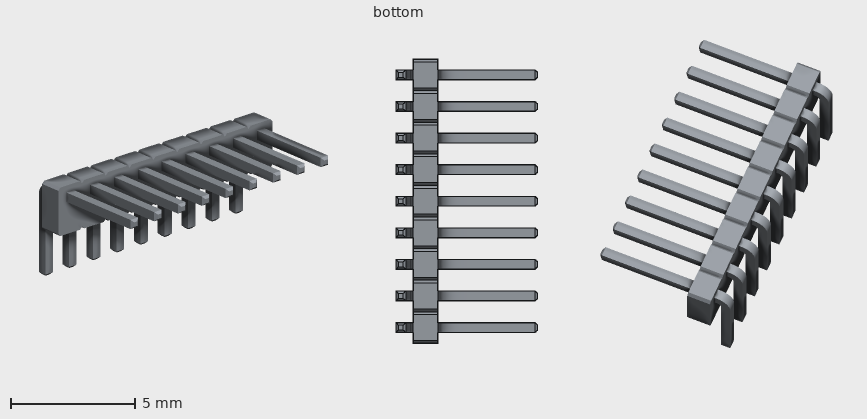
import cadquery as cq


row_length = 11.43
pin_count = 9
pitch = row_length / pin_count

total_width = 5.7
total_height = 4.35

housing_depth = 1.0
housing_height = 2.1
housing_offset = 0.7
notch_depth = 0.11

pin_size = 0.4
pin_tip_chamfer = 0.1
bend_inner_radius = 0.2
bend_outer_radius = bend_inner_radius + pin_size
pin_axis_drop = 0.5

housing_bottom = total_height - housing_height
pin_top = total_height - pin_axis_drop + pin_size / 2


def make_housing_segment(y_center):
    """One position of the housing, with its four long edges chamfered."""
    segment = cq.Workplane("XY").box(
        housing_depth, pitch, housing_height, centered=(False, True, False)
    )
    segment = segment.edges("|X").chamfer(notch_depth)
    return segment.translate((housing_offset, y_center, housing_bottom))


def make_pin(y_center):
    """One square pin: horizontal leg, rounded bend and downward leg, with tapered tips."""
    pin_blank = (
        cq.Workplane("XZ")
        .rect(total_width, pin_top, centered=False)
        .extrude(pin_size / 2, both=True)
    )
    inside_corner = (
        cq.Workplane("XZ")
        .rect(total_width - pin_size, pin_top - pin_size, centered=False)
        .extrude(pin_size / 2, both=True)
        .translate((pin_size, 0, 0))
    )
    pin = pin_blank.cut(inside_corner)
    outer_edge = cq.selectors.NearestToPointSelector((0, 0, pin_top))
    pin = pin.edges("|Y").edges(outer_edge).fillet(bend_outer_radius)
    inner_edge = cq.selectors.NearestToPointSelector((pin_size, 0, pin_top - pin_size))
    pin = pin.edges("|Y").edges(inner_edge).fillet(bend_inner_radius)
    pin = pin.faces(">X").chamfer(pin_tip_chamfer)
    pin = pin.faces("<Z").chamfer(pin_tip_chamfer)
    return pin.translate((0, y_center, 0))


result = cq.Workplane("XY")
for index in range(pin_count):
    y_position = (index - (pin_count - 1) / 2) * pitch
    result = result.union(make_housing_segment(y_position))
    result = result.union(make_pin(y_position))